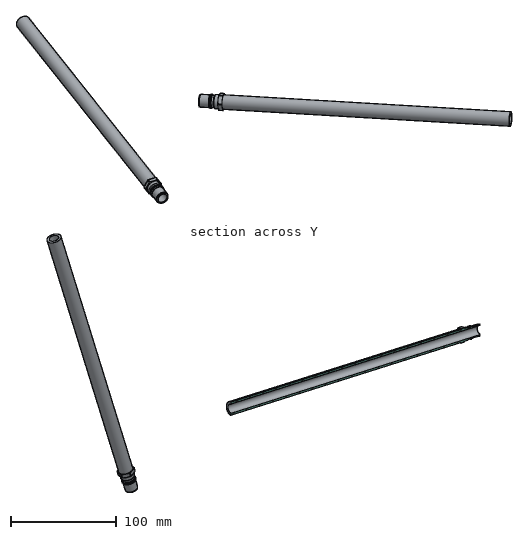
import cadquery as cq
import math

total_length = 300.0
bore_diameter = 9.0
tube_diameter = 14.0

hex_start = 277.0
hex_width = 4.2
hex_across_flats = 15.0
hex_corner_diameter = 16.8
hex_chamfer_face_diameter = 14.0
hex_chamfer_angle = 20.0

shoulder_diameter = 13.8
nose_diameter = 12.45
small_diameter = 11.85
shoulder_end = 284.8
shoulder_taper = 1.0
rib_start = 287.7
rib_rise = 0.6
rib_crest = 1.0
rib_fall = 1.1
tip_taper = 0.5
tip_land = 0.5

hex_end = hex_start + hex_width
tube_radius = tube_diameter / 2
shoulder_radius = shoulder_diameter / 2
nose_radius = nose_diameter / 2
small_radius = small_diameter / 2
rib_crest_start = rib_start + rib_rise
rib_crest_end = rib_crest_start + rib_crest
rib_end = rib_crest_end + rib_fall
tip_land_start = total_length - tip_land


def turned_body():
    """Solid of revolution: tube, shoulder, groove, rib, nose and tapered tip."""
    profile = (
        cq.Workplane("XY")
        .moveTo(0, 0)
        .lineTo(0, tube_radius)
        .lineTo(hex_end, tube_radius)
        .lineTo(hex_end, shoulder_radius)
        .lineTo(shoulder_end, shoulder_radius)
        .lineTo(shoulder_end + shoulder_taper, small_radius)
        .lineTo(rib_start, small_radius)
        .lineTo(rib_crest_start, shoulder_radius)
        .lineTo(rib_crest_end, shoulder_radius)
        .lineTo(rib_end, nose_radius)
        .lineTo(tip_land_start - tip_taper, nose_radius)
        .lineTo(tip_land_start, small_radius)
        .lineTo(total_length, small_radius)
        .lineTo(total_length, 0)
        .close()
    )
    return profile.revolve(360, (0, 0, 0), (1, 0, 0))


def hex_collar():
    """Hexagon with its corners turned down and its plug-side edge chamfered."""
    chamfer_radial = (hex_corner_diameter - hex_chamfer_face_diameter) / 2
    chamfer_axial = chamfer_radial * math.tan(math.radians(hex_chamfer_angle))
    across_corners = hex_across_flats / math.cos(math.pi / 6)
    base = cq.Workplane("YZ", origin=(hex_start, 0, 0))
    prism = base.polygon(6, across_corners).extrude(hex_width)
    envelope = (
        base.circle(hex_corner_diameter / 2)
        .extrude(hex_width)
        .faces(">X")
        .chamfer(chamfer_axial, chamfer_radial)
    )
    return prism.intersect(envelope)


def through_bore():
    return cq.Workplane("YZ").circle(bore_diameter / 2).extrude(total_length)


part = turned_body().union(hex_collar()).cut(through_bore())
result = part.translate((-total_length / 2, 0, 0))